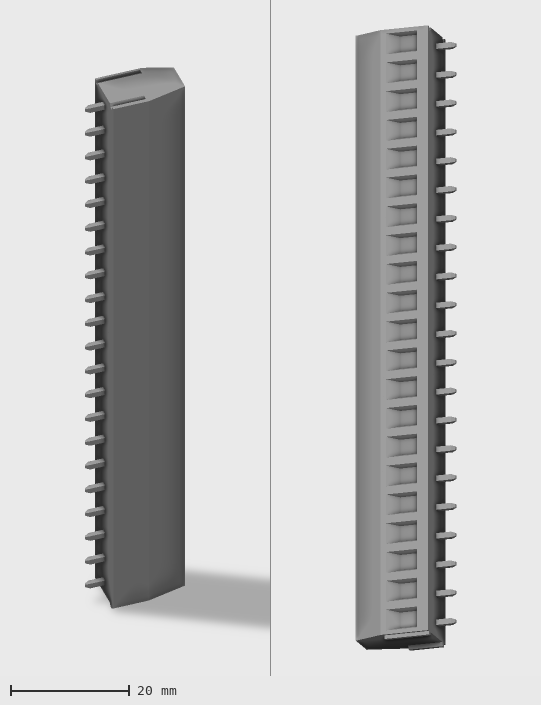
import cadquery as cq

pole_count = 21
body_height = 106.6
pole_pitch = body_height / pole_count
body_width = 9.0
body_depth = 13.5
back_width = 5.7
left_shoulder_depth = 8.5
right_shoulder_depth = 6.4
back_land = 0.3

entry_height = 3.6
entry_front, entry_rear = 1.9, 7.5
entry_floor_front, entry_floor_rear = 2.4, 5.3
entry_floor_height = 2.7
entry_depth = 0.9

pin_size = 1.0
pin_tip_width = 0.3
pin_tip_height = 0.5
pin_straight_length = 2.7
pin_length = 3.4

joint_height = 0.6
joint_taper = 0.3
left_joint_outer, left_joint_inner = 3.8, 2.9
left_joint_length = 7.9
right_joint_outer, right_joint_inner = 3.5, 2.6
right_joint_length = 6.1


def make_body():
    half_width = body_width / 2
    half_back = back_width / 2
    slope_end = body_depth - back_land
    outline = [
        (-half_width, 0),
        (half_width, 0),
        (half_width, right_shoulder_depth),
        (half_back, slope_end),
        (half_back, body_depth),
        (-half_back, body_depth),
        (-half_back, slope_end),
        (-half_width, left_shoulder_depth),
    ]
    return cq.Workplane("XY").polyline(outline).close().extrude(body_height)


def make_entry(z_center):
    """Pocket cutter whose four walls slope in from the -X side to a smaller floor."""
    rim_center = (entry_front + entry_rear) / 2
    floor_center = (entry_floor_front + entry_floor_rear) / 2
    return (
        cq.Workplane("YZ", origin=(-body_width / 2, rim_center, z_center))
        .rect(entry_rear - entry_front, entry_height)
        .workplane(offset=entry_depth)
        .center(floor_center - rim_center, 0)
        .rect(entry_floor_rear - entry_floor_front, entry_floor_height)
        .loft(ruled=True)
    )


def make_pin(z_center):
    """Square pin growing toward -Y and ending in a blunt point."""
    pin_plane = cq.Workplane("XZ", origin=(0, 0, z_center))
    shank = pin_plane.rect(pin_size, pin_size).extrude(pin_straight_length)
    point = (
        pin_plane.workplane(offset=pin_straight_length)
        .rect(pin_size, pin_size)
        .workplane(offset=pin_length - pin_straight_length)
        .rect(pin_tip_width, pin_tip_height)
        .loft(ruled=True)
    )
    return shank.union(point)


def make_joint(side, outer, inner, length, z_top):
    """Bar along Y, wider at its top, with the slope on the side facing the middle of the housing."""
    section = [
        (side * outer, z_top),
        (side * inner, z_top),
        (side * (inner + joint_taper), z_top - joint_height),
        (side * outer, z_top - joint_height),
    ]
    return cq.Workplane("XZ").polyline(section).close().extrude(-length)


result = make_body()

for pole in range(pole_count):
    z_center = (pole + 0.5) * pole_pitch
    result = result.cut(make_entry(z_center)).union(make_pin(z_center))

joints = [
    (-1.1, left_joint_outer, left_joint_inner, left_joint_length),
    (1.1, right_joint_outer, right_joint_inner, right_joint_length),
]
for joint in joints:
    rail = make_joint(*joint, z_top=0)
    groove = make_joint(*joint, z_top=body_height)
    result = result.union(rail).cut(groove)